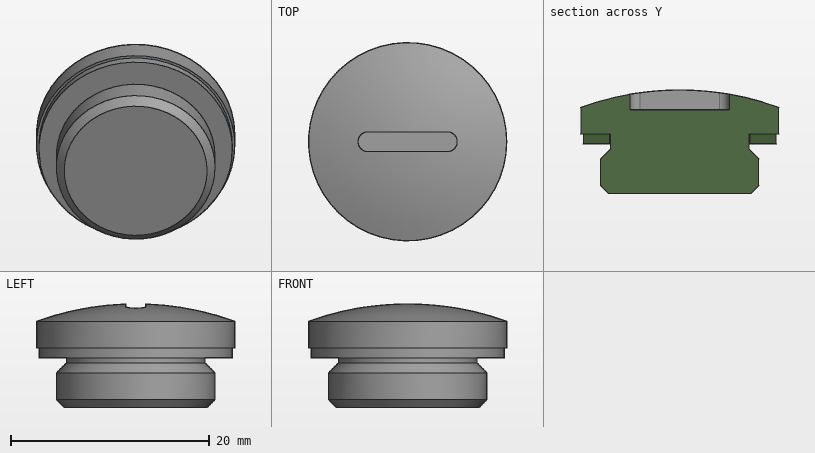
import cadquery as cq
import math

seal_thickness = 1.0
neck_gap = 0.5
plug_depth = 6.0
tip_chamfer = 0.8
rim_height = 2.7
overall_height = 10.45

flange_diameter = 20.0
seal_outer_diameter = 19.5
seal_inner_diameter = 14.1
neck_diameter = 14.0
thread_diameter = 16.0

slot_length = 10.0
slot_width = 2.0
slot_depth = 2.0

flange_radius = flange_diameter / 2
neck_radius = neck_diameter / 2
thread_radius = thread_diameter / 2

slot_edge_height = overall_height - plug_depth
slot_half_width = slot_width / 2
edge_rise = slot_edge_height - rim_height
dome_center_drop = (flange_radius**2 - slot_half_width**2 - edge_rise**2) / (2 * edge_rise)
dome_radius = math.hypot(flange_radius, dome_center_drop)
dome_apex = rim_height - dome_center_drop + dome_radius


def make_cap():
    """Turned screw plug with a domed flange and a screwdriver slot."""
    taper_top = -seal_thickness - neck_gap
    taper_height = thread_radius - neck_radius
    mid_chord = flange_radius / 2
    mid_height = rim_height - dome_center_drop + math.sqrt(dome_radius**2 - mid_chord**2)
    body = (
        cq.Workplane("XZ")
        .moveTo(0, -plug_depth)
        .lineTo(thread_radius - tip_chamfer, -plug_depth)
        .lineTo(thread_radius, -plug_depth + tip_chamfer)
        .lineTo(thread_radius, taper_top - taper_height)
        .lineTo(neck_radius, taper_top)
        .lineTo(neck_radius, 0)
        .lineTo(flange_radius, 0)
        .lineTo(flange_radius, rim_height)
        .threePointArc((mid_chord, mid_height), (0, dome_apex))
        .close()
        .revolve(360, (0, 0, 0), (0, 1, 0))
    )
    slot = (
        cq.Workplane("XY")
        .workplane(offset=dome_apex - slot_depth)
        .slot2D(slot_length, slot_width)
        .extrude(2 * slot_depth)
    )
    return body.cut(slot)


def make_seal():
    """Flat sealing ring, a loose fit on the neck, against the flange underside."""
    return (
        cq.Workplane("XY")
        .circle(seal_outer_diameter / 2)
        .circle(seal_inner_diameter / 2)
        .extrude(-seal_thickness)
    )


cap = make_cap()
seal = make_seal()

result = cq.Compound.makeCompound([cap.val(), seal.val()])